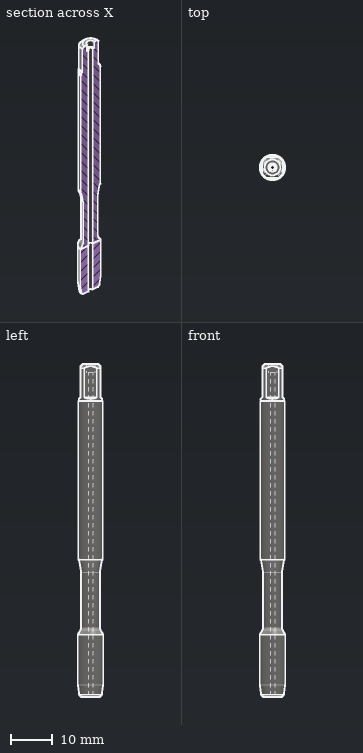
import cadquery as cq
import math

total_length = 80.0
thread_length = 15.0
lead_length = 3.0
neck_top_z = 30.0
shank_bottom_z = 33.0
shank_top_z = 71.0

thread_diameter = 6.15
tip_diameter = 4.5
tip_chamfer = 0.5
lead_tip_diameter = tip_diameter + 2 * tip_chamfer

neck_diameter = 4.57
transition_angle = math.radians(30)
transition_fillet_radius = 1.0

neck_taper_angle = math.radians(10)
taper_top_radius = neck_diameter / 2 + (shank_bottom_z - neck_top_z) * math.tan(neck_taper_angle)

shank_diameter = 6.0
drive_corner_diameter = 5.76
drive_end_diameter = 3.76
square_width = 4.9
flat_bottom_z = 72.0
shoulder_chamfer = (shank_diameter - drive_corner_diameter) / 2
drive_end_chamfer = (drive_corner_diameter - drive_end_diameter) / 2
flat_depth = (drive_corner_diameter - square_width) / 2

bore_diameter = 1.1
inlet_diameter = 2.0
inlet_depth = 2.0


def revolve_about_axis(half_profile):
    return half_profile.close().revolve(360, (0, 0), (0, 1))


def axial_cylinder(diameter, bottom_z, top_z):
    return cq.Workplane("XY").workplane(offset=bottom_z).circle(diameter / 2).extrude(top_z - bottom_z)


def flat_cutter():
    """Material outside the +X flat, ending below in a 45 degree runout."""
    flat_x = square_width / 2
    corner_x = drive_corner_diameter / 2
    return (
        cq.Workplane("XZ")
        .moveTo(flat_x, total_length)
        .lineTo(flat_x, flat_bottom_z)
        .lineTo(corner_x, flat_bottom_z - flat_depth)
        .lineTo(corner_x, total_length)
        .close()
        .extrude(corner_x, both=True)
    )


def build_cutting_head():
    head = revolve_about_axis(
        cq.Workplane("XZ")
        .moveTo(0, 0)
        .lineTo(tip_diameter / 2, 0)
        .lineTo(lead_tip_diameter / 2, tip_chamfer)
        .lineTo(thread_diameter / 2, lead_length)
        .lineTo(thread_diameter / 2, thread_length)
        .lineTo(0, thread_length)
    )
    return head.cut(axial_cylinder(bore_diameter, 0, thread_length))


def turned_shank():
    """Neck, shank and drive blank as one turned shape standing on the thread end."""
    neck_radius = neck_diameter / 2
    thread_radius = thread_diameter / 2

    corner_z = thread_length + (thread_radius - neck_radius) / math.tan(transition_angle)
    tangent_length = transition_fillet_radius * math.tan(transition_angle / 2)
    fillet_bottom_radius = neck_radius + tangent_length * math.sin(transition_angle)
    fillet_bottom_z = corner_z - tangent_length * math.cos(transition_angle)
    fillet_top_z = corner_z + tangent_length

    return revolve_about_axis(
        cq.Workplane("XZ")
        .moveTo(0, thread_length)
        .lineTo(thread_radius, thread_length)
        .lineTo(fillet_bottom_radius, fillet_bottom_z)
        .tangentArcPoint((neck_radius, fillet_top_z), relative=False)
        .lineTo(neck_radius, neck_top_z)
        .lineTo(taper_top_radius, shank_bottom_z)
        .lineTo(shank_diameter / 2, shank_bottom_z)
        .lineTo(shank_diameter / 2, shank_top_z)
        .lineTo(drive_corner_diameter / 2, shank_top_z + shoulder_chamfer)
        .lineTo(drive_corner_diameter / 2, total_length - drive_end_chamfer)
        .lineTo(drive_end_diameter / 2, total_length)
        .lineTo(0, total_length)
    )


def build_shank():
    shank = turned_shank()
    for flat_angle in (0, 90, 180, 270):
        shank = shank.cut(flat_cutter().rotate((0, 0, 0), (0, 0, 1), flat_angle))
    shank = shank.cut(axial_cylinder(bore_diameter, thread_length, total_length))
    return shank.cut(axial_cylinder(inlet_diameter, total_length - inlet_depth, total_length))


cutting_head = build_cutting_head()
shank = build_shank()

result = cq.Compound.makeCompound([cutting_head.val(), shank.val()])